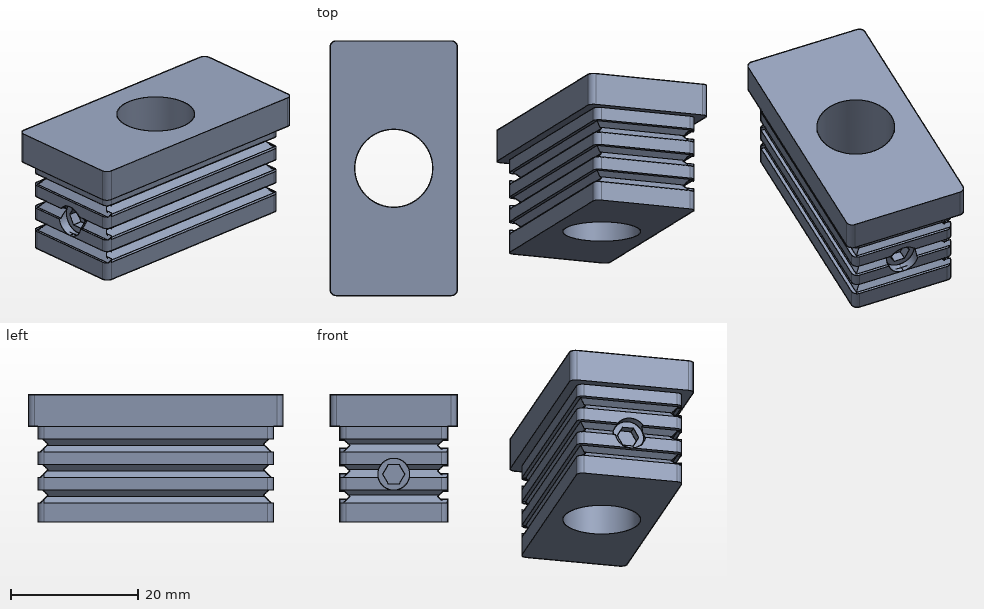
import cadquery as cq
import math

length = 40.0
width = length / 2
height = 20.0
head_height = 5.0
corner_radius = 1.0

body_inset = 1.5
body_width = width - 2 * body_inset
body_length = length - 2 * body_inset
body_height = height - head_height

bore_diameter = 12.2

groove_count = 3
groove_pitch = 4.0
groove_height = 2.0
first_groove_bottom = 3.0
groove_depth = 1.6
end_apex_rise = 1.2
long_apex_rise = groove_height / 2

screw_height = body_height / 2
screw_diameter = 5.0
screw_recess = groove_depth
hex_across_flats = 3.0
hex_depth = 1.6

overrun = 0.4


def rounded_block(x_size, y_size, z_bottom, z_size):
    """Box with rounded vertical edges, centred on the Z axis."""
    block = cq.Workplane("XY").workplane(offset=z_bottom).rect(x_size, y_size).extrude(z_size)
    return block.edges("|Z").fillet(corner_radius)


def groove_outline(plane, face, bottom, apex_rise):
    """Groove section open at a face on the positive side: flat lips leading to a 45 degree vee."""
    top = bottom + groove_height
    apex = face - groove_depth
    upper_lip = apex + groove_height - apex_rise
    lower_lip = apex + apex_rise
    return plane.polyline([
        (face + overrun, bottom),
        (lower_lip, bottom),
        (apex, bottom + apex_rise),
        (upper_lip, top),
        (face + overrun, top),
    ]).close()


def half_ring_cutter(bottom):
    """Groove along the +Y and +X sides.

    The short-side groove runs out at both ends. The long-side groove runs out at +Y
    but stops where the rounded corner begins at -Y.
    """
    end_plane = cq.Workplane("YZ")
    end_cut = groove_outline(end_plane, body_length / 2, bottom, end_apex_rise)
    end_cut = end_cut.extrude(body_width / 2 + overrun, both=True)

    long_start = -(body_length / 2 - corner_radius)
    long_run = body_length / 2 + overrun - long_start
    long_plane = cq.Workplane("XZ", origin=(0, long_start, 0))
    long_cut = groove_outline(long_plane, body_width / 2, bottom, long_apex_rise)
    long_cut = long_cut.extrude(-long_run)
    return end_cut.union(long_cut)


def cut_grooves(part):
    for index in range(groove_count):
        cutter = half_ring_cutter(first_groove_bottom + index * groove_pitch)
        part = part.cut(cutter)
        part = part.cut(cutter.rotate((0, 0, 0), (0, 0, 1), 180))
    return part


def cut_screw_socket(part):
    """Round recess down to the screw head, then the hexagon socket in the head."""
    entry = cq.Workplane("XZ", origin=(0, -body_length / 2, screw_height))
    recess = entry.transformed(rotate=(0, 0, -90)).circle(screw_diameter / 2).extrude(-screw_recess)
    hex_across_corners = hex_across_flats / math.cos(math.radians(30))
    socket = entry.polygon(6, hex_across_corners).extrude(-(screw_recess + hex_depth))
    return part.cut(recess).cut(socket)


head = rounded_block(width, length, body_height, head_height)
body = rounded_block(body_width, body_length, 0, body_height)
bore = cq.Workplane("XY").circle(bore_diameter / 2).extrude(height)
result = cut_grooves(cut_screw_socket(body.union(head).cut(bore)))